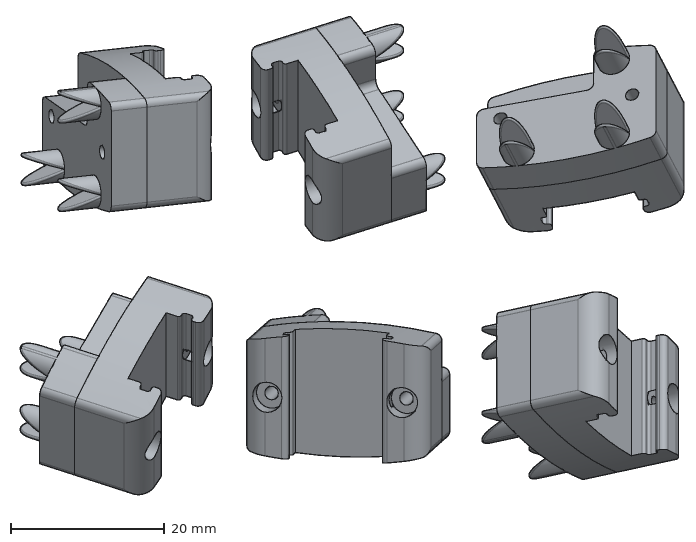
import cadquery as cq
import math

WIDTH = 24.5
HEIGHT = 17.0
SIDE_HEIGHT = 14.58
EDGE_RADIUS = 1.0

CLIP_DEPTH = 10.0
BASE_DEPTH = 5.0

SLOT_WIDTH = 12.5
SLOT_FLOOR_Y = 5.0
GROOVE_DEPTH = 1.0
GROOVE_START_Y = 6.98
GROOVE_END_Y = 8.48
GROOVE_RADIUS = 0.4
LUG_OUTER_RADIUS = 3.0
LUG_LIP_RADIUS = 0.8

HOLE_DIAMETER = 1.8
HOLE_X = 9.0
COUNTERBORE_DIAMETER = 4.0
COUNTERBORE_DEPTH = 3.0

NOTCH_RIGHT_X = 3.75
NOTCH_FLOOR_Z = 2.0

PIN_RADIUS = 2.15
PIN_X = 6.5
PIN_Z = 6.0
PIN_CENTRES = [(-PIN_X, -PIN_Z), (PIN_X, -PIN_Z), (PIN_X, PIN_Z)]
PRONG_SHARP_LENGTH = 6.35
PRONG_EDGE_RADIUS = 0.233


def y_plane(y):
    """Workplane at the given Y, facing -Y, with local axes X and Z."""
    return cq.Workplane("XZ", origin=(0, y, 0))


def outline_block(front_y, back_y):
    """Crowned outline with rounded corners, filling front_y to back_y."""
    side_x = WIDTH / 2
    side_z = SIDE_HEIGHT / 2
    return (
        y_plane(back_y)
        .moveTo(-side_x, -side_z)
        .threePointArc((0, -HEIGHT / 2), (side_x, -side_z))
        .lineTo(side_x, side_z)
        .threePointArc((0, HEIGHT / 2), (-side_x, side_z))
        .close()
        .extrude(back_y - front_y)
        .edges("|Y")
        .fillet(EDGE_RADIUS)
    )


def y_cylinders(diameter, front_y, back_y):
    """One cylinder along Y at each screw position."""
    return (
        y_plane(back_y)
        .pushPoints([(-HOLE_X, 0), (HOLE_X, 0)])
        .circle(diameter / 2)
        .extrude(back_y - front_y)
    )


def clip_profile():
    """Clip seen along Z: a U with rounded lugs and grooved slot walls."""
    wall_x = SLOT_WIDTH / 2
    groove_x = wall_x + GROOVE_DEPTH
    right_half = [
        (0, 0),
        (WIDTH / 2, 0),
        (WIDTH / 2, CLIP_DEPTH),
        (wall_x, CLIP_DEPTH),
        (wall_x, GROOVE_END_Y),
        (groove_x, GROOVE_END_Y),
        (groove_x, GROOVE_START_Y),
        (wall_x, GROOVE_START_Y),
        (wall_x, SLOT_FLOOR_Y),
        (0, SLOT_FLOOR_Y),
    ]
    rounded_corners = [
        (right_half[2], LUG_OUTER_RADIUS),
        (right_half[3], LUG_LIP_RADIUS),
    ] + [(corner, GROOVE_RADIUS) for corner in right_half[4:8]]

    half = cq.Workplane("XY", origin=(0, 0, -HEIGHT / 2)).polyline(right_half).close().extrude(HEIGHT)
    for (x, y), radius in rounded_corners:
        half = half.edges(cq.selectors.NearestToPointSelector((x, y, 0))).fillet(radius)
    return half.union(half.mirror("YZ"))


def make_clip():
    clip = outline_block(0, CLIP_DEPTH).intersect(clip_profile())
    clip = clip.cut(y_cylinders(HOLE_DIAMETER, 0, CLIP_DEPTH))
    return clip.cut(y_cylinders(COUNTERBORE_DIAMETER, CLIP_DEPTH - COUNTERBORE_DEPTH, CLIP_DEPTH))


def cut_corner_notch(block):
    """Remove the upper left corner, rounding the three edges this leaves."""
    notch = (
        y_plane(0)
        .moveTo(NOTCH_RIGHT_X, NOTCH_FLOOR_Z)
        .lineTo(NOTCH_RIGHT_X, HEIGHT)
        .lineTo(-WIDTH, HEIGHT)
        .lineTo(-WIDTH, NOTCH_FLOOR_Z)
        .close()
        .extrude(BASE_DEPTH)
    )
    block = block.cut(notch)
    middle_y = -BASE_DEPTH / 2
    notch_corners = [
        (-WIDTH / 2, NOTCH_FLOOR_Z),
        (NOTCH_RIGHT_X, NOTCH_FLOOR_Z),
        (NOTCH_RIGHT_X, HEIGHT / 2),
    ]
    for x, z in notch_corners:
        edge = cq.selectors.NearestToPointSelector((x, middle_y, z))
        block = block.edges(edge).fillet(EDGE_RADIUS)
    return block


def make_prong():
    """Upper half of a split pin, centred on the Y axis with its root at Y = 0.

    A slimmer, slant-cut core is thickened all round by the edge radius, which
    gives the full pin radius and a rounded rim. It is then trimmed to its half.
    """
    slant = math.atan(PIN_RADIUS / PRONG_SHARP_LENGTH)
    slope = math.tan(slant)
    core_radius = PIN_RADIUS - PRONG_EDGE_RADIUS
    core_lift = PRONG_EDGE_RADIUS / math.cos(slant)
    reach = 2 * PRONG_SHARP_LENGTH

    core_cylinder = y_plane(reach).circle(core_radius).extrude(2 * reach)
    above_slant = (
        cq.Workplane("YZ", origin=(-WIDTH / 2, 0, 0))
        .moveTo(-reach, core_lift + reach * slope)
        .lineTo(2 * reach, core_lift - 2 * reach * slope)
        .lineTo(2 * reach, core_lift + reach * slope)
        .close()
        .extrude(WIDTH)
    )
    core = core_cylinder.intersect(above_slant)
    skin = core.shell(PRONG_EDGE_RADIUS, kind="arc")
    upper_half = cq.Workplane("XY").box(WIDTH, reach, WIDTH, centered=(True, False, False))
    return core.union(skin).intersect(upper_half.translate((0, -reach, 0)))


def make_base():
    base = cut_corner_notch(outline_block(-BASE_DEPTH, 0))
    base = base.cut(y_cylinders(HOLE_DIAMETER, -BASE_DEPTH, 0))

    pin_end_y = -BASE_DEPTH - PRONG_SHARP_LENGTH
    pin_envelope = outline_block(pin_end_y, -BASE_DEPTH)
    upper_prong = make_prong()
    lower_prong = upper_prong.mirror("XY")
    for x, z in PIN_CENTRES:
        for prong in (upper_prong, lower_prong):
            base = base.union(prong.translate((x, -BASE_DEPTH, z)).intersect(pin_envelope))
    return base


clip = make_clip()
base = make_base()

result = cq.Compound.makeCompound([clip.val(), base.val()])